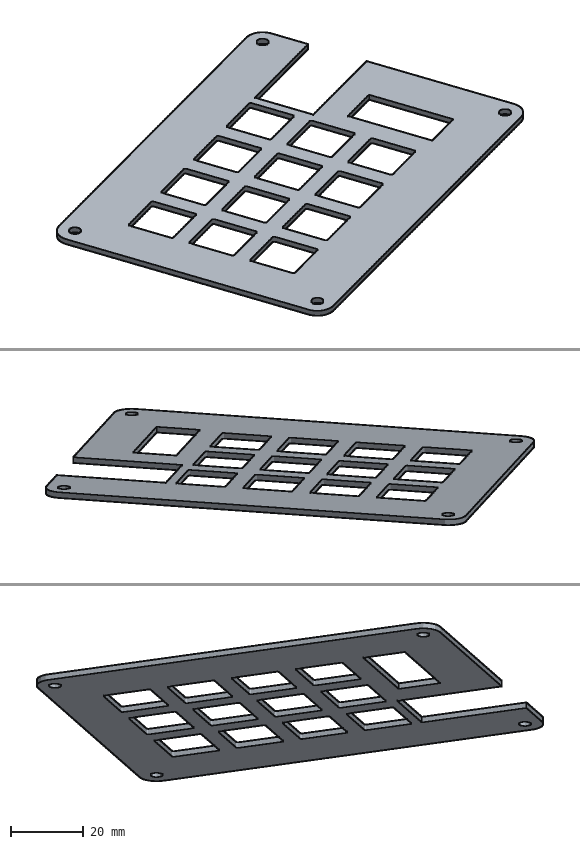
import cadquery as cq

width = 86.0
length = 119.5
thickness = 1.7
corner_radius = 5.0

screw_hole_diameter = 3.3
screw_hole_inset = corner_radius

key_columns = 3
key_rows = 4
key_size = 14.0
key_corner_radius = 0.5
key_rows_span = 57.1
key_pitch = key_rows_span / (key_rows - 1)
key_grid_x = -0.4
key_grid_y = -9.8

notch_width = 18.3
notch_depth = 31.1
notch_left = key_grid_x - (key_columns - 1) / 2 * key_pitch - key_size / 2

window_width = 26.4
window_height = 12.3
window_x = 13.9
window_y = 38.7


def make_plate():
    return cq.Workplane("XY").box(width, length, thickness).edges("|Z").fillet(corner_radius)


def cut_screw_holes(plate):
    return (
        plate.faces(">Z")
        .workplane(origin=(0, 0, 0))
        .rect(width - 2 * screw_hole_inset, length - 2 * screw_hole_inset, forConstruction=True)
        .vertices()
        .hole(screw_hole_diameter)
    )


def make_key_cutters():
    return (
        cq.Workplane("XY")
        .center(key_grid_x, key_grid_y)
        .rarray(key_pitch, key_pitch, key_columns, key_rows)
        .box(key_size, key_size, 2 * thickness)
        .edges("|Z")
        .fillet(key_corner_radius)
    )


def make_notch_cutter():
    return (
        cq.Workplane("XY")
        .center(notch_left + notch_width / 2, length / 2)
        .box(notch_width, 2 * notch_depth, 2 * thickness)
    )


def make_window_cutter():
    return (
        cq.Workplane("XY")
        .center(window_x, window_y)
        .box(window_width, window_height, 2 * thickness)
    )


result = (
    cut_screw_holes(make_plate())
    .cut(make_key_cutters())
    .cut(make_notch_cutter())
    .cut(make_window_cutter())
)